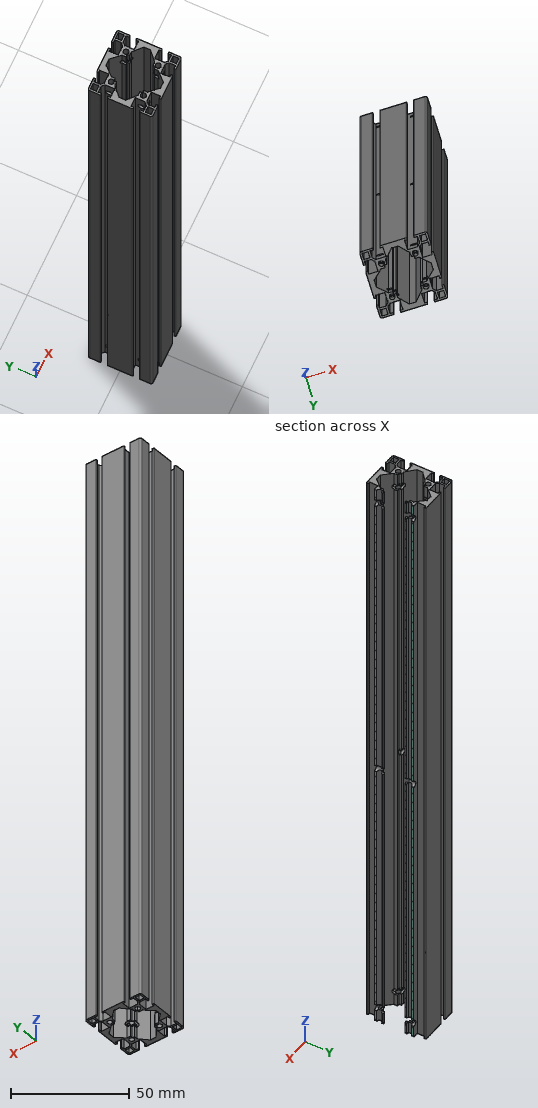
import cadquery as cq

width = 30.0
length = 300.0
half = width / 2
half_length = length / 2
corner_radius = 1.0
mouth_radius = 0.3

slot_offset = 7.5
slot_mouth = 3.0
lip = 1.0
slot_floor = 10.0
pocket_inner = 4.8
pocket_outer = 10.5
mouth_inner = slot_offset - slot_mouth / 2
mouth_outer = slot_offset + slot_mouth / 2

post_wall = 1.0
web_length = 3.0
web_thickness = 1.0

lobe_tip = 12.5
lobe_tip_half = 1.5
lobe_root = 8.5
boss_side = 5.5
boss_notch = 6.5

screw_bore = 2.5

cross_hole = 3.0
end_distance = 7.5
end_levels = [half_length - end_distance, end_distance - half_length]
middle_level = -7.5

corner_signs = [(1, 1), (-1, 1), (-1, -1), (1, -1)]


def section_plane():
    return cq.Workplane("XY").workplane(offset=-half_length)


def prism(points):
    """Full-length prism over a closed outline."""
    return section_plane().polyline(points).close().extrude(length)


def around(body):
    """Join copies of a body at the four quarter turns about Z."""
    joined = body
    for angle in (90, 180, 270):
        joined = joined.union(body.rotate((0, 0, 0), (0, 0, 1), angle))
    return joined


def rectangle(x_low, x_high, y_low, y_high):
    return prism([(x_low, y_low), (x_high, y_low), (x_high, y_high), (x_low, y_high)])


def is_mouth_edge(edge):
    """Whether an upright edge is where a slot mouth meets an outer face."""
    across, outward = sorted([abs(edge.Center().x), abs(edge.Center().y)])
    return across < pocket_outer and outward > half - lip / 2


def slotted_block():
    """Square bar with both T-slots in every face; its outer edges are rounded."""
    mouth = rectangle(mouth_inner, mouth_outer, slot_floor, half)
    pocket = rectangle(pocket_inner, pocket_outer, slot_floor, half - lip)
    mouths = around(mouth.union(mouth.mirror("YZ")))
    pockets = around(pocket.union(pocket.mirror("YZ")))
    block = section_plane().rect(width, width).extrude(length)
    block = block.edges("|Z").fillet(corner_radius).cut(mouths)
    mouth_edges = [edge for edge in block.edges("|Z").vals() if is_mouth_edge(edge)]
    return block.newObject(mouth_edges).fillet(mouth_radius).cut(pockets)


def corner_web():
    """Diagonal web from the slot floors to the corner post at +X +Y."""
    middle = (slot_floor + pocket_outer) / 2
    plane = section_plane().center(middle, middle).transformed(rotate=(0, 0, 45))
    return plane.rect(web_length, web_thickness).extrude(length)


def post_bore():
    """Square bore of the corner post at +X +Y."""
    low = pocket_outer + post_wall
    high = half - post_wall
    return rectangle(low, high, low, high)


def cavity():
    """Four-lobed hollow; each quarter outline is one lobe and the notched boss beside it."""
    quarter = [
        (-boss_side, lobe_root),
        (-lobe_tip_half, lobe_tip),
        (lobe_tip_half, lobe_tip),
        (boss_side, lobe_root),
        (boss_side, boss_notch),
        (boss_notch, boss_notch),
        (boss_notch, boss_side),
    ]
    outline = []
    for turn in range(4):
        outline += quarter
        quarter = [(y, -x) for x, y in quarter]
    return prism(outline)


def screw_bores():
    """Bores along Z through the four screw bosses."""
    centers = [(sx * slot_offset, sy * slot_offset) for sx, sy in corner_signs]
    return section_plane().pushPoints(centers).circle(screw_bore / 2).extrude(length)


def cross_holes(plane, levels):
    """Holes on both slot lines, drilled right through the extrusion at each level."""
    centers = [(side * slot_offset, level) for side in (-1, 1) for level in levels]
    drill = cq.Workplane(plane).pushPoints(centers).circle(cross_hole / 2)
    return drill.extrude(half, both=True)


result = slotted_block()
result = result.union(around(corner_web()))
result = result.cut(around(post_bore()))
result = result.cut(cavity())
result = result.cut(screw_bores())
result = result.cut(cross_holes("XZ", end_levels + [middle_level]))
result = result.cut(cross_holes("YZ", end_levels))